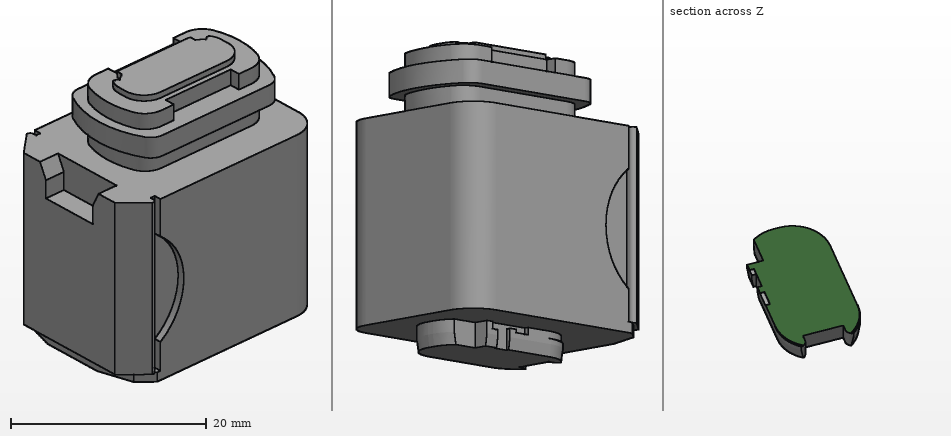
import cadquery as cq
import math

BODY_HALF_WIDTH = 9.5
BODY_BACK = 11.7
BODY_FRONT = -14.57
BODY_HEIGHT = 21.55
BACK_CORNER_RADIUS = 3.25
CAP_CHAMFER_X = 2.6
CAP_CHAMFER_Y = 2.83

FOOT_HEIGHT = 1.15
FOOT_SIDE_END = -11.1
FOOT_OUTER_CORNER = (7.9, -12.9)
FOOT_INNER_CORNER = (3.7, -14.13)

GROOVE_DEPTH = 0.85
GROOVE_BACK = -10.65
GROOVE_FRONT = -11.2
CAP_EDGE_RADIUS = 0.45
RECESS_MID_HEIGHT = 10.83
RECESS_HALF_HEIGHT = 6.25
RECESS_BACK = -7.37

NOTCH_BACK = -12.05
NOTCH_FLOOR = 17.6
NOTCH_FLARE_START = 19.75
NOTCH_HALF_WIDTH = 3.52
NOTCH_TOP_HALF_WIDTH = 4.4

NECK_HALF_WIDTH = 4.95
NECK_HALF_LENGTH = 9.2
NECK_END_RADIUS = 9.9
NECK_CORNER_RADIUS = 2.5
NECK_TOP = 28.42
FLANGE_HALF_WIDTH = 6.38
FLANGE_HALF_LENGTH = 10.4
FLANGE_END_RADIUS = 11.43
FLANGE_CORNER_RADIUS = 1.85
FLANGE_BOTTOM = 24.1
FLANGE_TOP = 26.55
WAIST_HALF_WIDTH = 3.7
WAIST_HALF_LENGTH = 4.55
PLATE_HALF_WIDTH = 3.05
PLATE_HALF_LENGTH = 7.15
PLATE_CORNER_RADIUS = 2.55
PLATE_TOP = 29.1

KEY_LEDGE = (-2.3, 5.1)
KEY_TIP = (-1.65, 6.03)
KEY_HOOK = (-1.9, 6.4)

PLUG_DEPTH = 2.65
PLUG_HALF_WIDTH = 4.48
PLUG_HALF_LENGTH = 8.5
PLUG_CORNER_RADIUS = 4.13
PLUG_TAPER_START = 1.33
PLUG_TAPER_ANGLE = 8.0
COLLAR_DEPTH = 0.75
COLLAR_FRONT = -8.25
NOSE_POCKET_TOP = 0.55
NOSE_POCKET_HALF_WIDTH = 2.15
NOSE_POCKET_BACK = -6.35
NOSE_TIP = -7.68
NOSE_ROUND = 0.73
SIDE_POCKET_DEPTH = 0.48
BACK_FLAT_X = 2.73
BACK_FLAT_FRONT = 4.75

SIDE_POCKETS = [
    (3.2, 1.5, PLUG_DEPTH),
    (3.95, 1.5, COLLAR_DEPTH),
    (1.5, 0.6, 0.4),
    (0.6, -1.1, COLLAR_DEPTH),
]


def block(x_min, x_max, y_min, y_max, z_min, z_max):
    size = (x_max - x_min, y_max - y_min, z_max - z_min)
    return cq.Workplane("XY").box(*size, centered=False).translate((x_min, y_min, z_min))


def both_sides(left_part):
    return left_part.union(left_part.mirror("YZ"))


def bowed_oval(half_width, half_length, end_radius, corner_radius, bottom, top):
    """Straight-sided prism with bowed ends, joined to the sides by tangent corner arcs."""
    end_center = half_length - end_radius
    corner_x = half_width - corner_radius
    reach = end_radius - corner_radius
    corner_y = end_center + math.sqrt(reach**2 - corner_x**2)
    join_x = corner_x * end_radius / reach
    join_y = end_center + (corner_y - end_center) * end_radius / reach
    angle = math.atan2(corner_y - end_center, corner_x) / 2
    mid_x = corner_x + corner_radius * math.cos(angle)
    mid_y = corner_y + corner_radius * math.sin(angle)
    return (
        cq.Workplane("XY", origin=(0, 0, bottom))
        .moveTo(half_width, -corner_y)
        .lineTo(half_width, corner_y)
        .threePointArc((mid_x, mid_y), (join_x, join_y))
        .threePointArc((0, half_length), (-join_x, join_y))
        .threePointArc((-mid_x, mid_y), (-half_width, corner_y))
        .lineTo(-half_width, -corner_y)
        .threePointArc((-mid_x, -mid_y), (-join_x, -join_y))
        .threePointArc((0, -half_length), (join_x, -join_y))
        .threePointArc((mid_x, -mid_y), (half_width, -corner_y))
        .close()
        .extrude(top - bottom)
    )


def rounded_outline(half_width, front, back, radius, z):
    sketch = cq.Sketch().rect(2 * half_width, back - front).vertices().fillet(radius)
    return cq.Workplane("XY", origin=(0, (front + back) / 2, z)).placeSketch(sketch)


def side_groove():
    """Cutter for the left side: groove and finger recess share one floor."""
    depth_plane = cq.Workplane("YZ", origin=(-BODY_HALF_WIDTH, 0, 0))
    return (
        depth_plane.moveTo(GROOVE_FRONT, FOOT_HEIGHT)
        .lineTo(GROOVE_BACK, FOOT_HEIGHT)
        .lineTo(GROOVE_BACK, RECESS_MID_HEIGHT - RECESS_HALF_HEIGHT)
        .threePointArc(
            (RECESS_BACK, RECESS_MID_HEIGHT),
            (GROOVE_BACK, RECESS_MID_HEIGHT + RECESS_HALF_HEIGHT),
        )
        .lineTo(GROOVE_BACK, BODY_HEIGHT)
        .lineTo(GROOVE_FRONT, BODY_HEIGHT)
        .close()
        .extrude(GROOVE_DEPTH)
    )


def cap_edge_rounding():
    """Cutter that rounds the left rear edge of the front cap."""
    strip = block(
        -BODY_HALF_WIDTH, -BODY_HALF_WIDTH + CAP_EDGE_RADIUS,
        GROOVE_FRONT - CAP_EDGE_RADIUS, GROOVE_FRONT,
        FOOT_HEIGHT, BODY_HEIGHT,
    )
    rod = (
        cq.Workplane("XY", origin=(0, 0, FOOT_HEIGHT))
        .center(-BODY_HALF_WIDTH + CAP_EDGE_RADIUS, GROOVE_FRONT - CAP_EDGE_RADIUS)
        .circle(CAP_EDGE_RADIUS)
        .extrude(BODY_HEIGHT - FOOT_HEIGHT)
    )
    return strip.cut(rod)


def latch_notch():
    return (
        cq.Workplane("XZ", origin=(0, NOTCH_BACK, 0))
        .polyline([
            (-NOTCH_HALF_WIDTH, NOTCH_FLOOR),
            (NOTCH_HALF_WIDTH, NOTCH_FLOOR),
            (NOTCH_HALF_WIDTH, NOTCH_FLARE_START),
            (NOTCH_TOP_HALF_WIDTH, BODY_HEIGHT),
            (-NOTCH_TOP_HALF_WIDTH, BODY_HEIGHT),
            (-NOTCH_HALF_WIDTH, NOTCH_FLARE_START),
        ])
        .close()
        .extrude(NOTCH_BACK - BODY_FRONT)
    )


def make_body():
    cap_face_half_width = BODY_HALF_WIDTH - CAP_CHAMFER_X
    cap_side_end = BODY_FRONT + CAP_CHAMFER_Y
    upper = (
        cq.Workplane("XY", origin=(0, 0, FOOT_HEIGHT))
        .polyline([
            (-BODY_HALF_WIDTH, BODY_BACK),
            (-BODY_HALF_WIDTH, cap_side_end),
            (-cap_face_half_width, BODY_FRONT),
            (cap_face_half_width, BODY_FRONT),
            (BODY_HALF_WIDTH, cap_side_end),
            (BODY_HALF_WIDTH, BODY_BACK),
        ])
        .close()
        .extrude(BODY_HEIGHT - FOOT_HEIGHT)
    )
    outer_x, outer_y = FOOT_OUTER_CORNER
    inner_x, inner_y = FOOT_INNER_CORNER
    foot = (
        cq.Workplane("XY")
        .polyline([
            (-BODY_HALF_WIDTH, BODY_BACK),
            (-BODY_HALF_WIDTH, FOOT_SIDE_END),
            (-outer_x, outer_y),
            (-inner_x, inner_y),
            (inner_x, inner_y),
            (outer_x, outer_y),
            (BODY_HALF_WIDTH, FOOT_SIDE_END),
            (BODY_HALF_WIDTH, BODY_BACK),
        ])
        .close()
        .extrude(FOOT_HEIGHT)
    )
    body = upper.union(foot).edges("|Z and >Y").fillet(BACK_CORNER_RADIUS)
    body = body.cut(both_sides(side_groove()))
    body = body.cut(both_sides(cap_edge_rounding()))
    return body.cut(latch_notch())


def key_notch():
    """Cutter for the hooked notch in the left back corner of the top plate."""
    return (
        cq.Workplane("XY", origin=(0, 0, NECK_TOP))
        .polyline([
            (-PLATE_HALF_WIDTH, KEY_LEDGE[1]),
            KEY_LEDGE,
            KEY_TIP,
            KEY_HOOK,
            (KEY_HOOK[0], PLATE_HALF_LENGTH),
            (-PLATE_HALF_WIDTH, PLATE_HALF_LENGTH),
        ])
        .close()
        .extrude(PLATE_TOP - NECK_TOP)
    )


def make_neck():
    neck = bowed_oval(
        NECK_HALF_WIDTH, NECK_HALF_LENGTH, NECK_END_RADIUS, NECK_CORNER_RADIUS,
        BODY_HEIGHT, NECK_TOP,
    )
    waist_slot = block(
        -NECK_HALF_WIDTH, -WAIST_HALF_WIDTH, -WAIST_HALF_LENGTH, WAIST_HALF_LENGTH,
        FLANGE_TOP, NECK_TOP,
    )
    neck = neck.cut(both_sides(waist_slot))
    flange = bowed_oval(
        FLANGE_HALF_WIDTH, FLANGE_HALF_LENGTH, FLANGE_END_RADIUS, FLANGE_CORNER_RADIUS,
        FLANGE_BOTTOM, FLANGE_TOP,
    )
    plate = rounded_outline(
        PLATE_HALF_WIDTH, -PLATE_HALF_LENGTH, PLATE_HALF_LENGTH, PLATE_CORNER_RADIUS, NECK_TOP
    ).extrude(PLATE_TOP - NECK_TOP)
    plate = plate.cut(key_notch()).cut(key_notch().mirror("XZ"))
    return neck.union(flange).union(plate)


def nose_pocket():
    """Cutter for the recess in the front of the plug, flaring out in convex rounds."""
    wall_end = NOSE_TIP + NOSE_ROUND
    mouth_half_width = NOSE_POCKET_HALF_WIDTH + NOSE_ROUND
    diagonal = NOSE_ROUND * (1 - math.sqrt(0.5))
    round_mid_x = NOSE_POCKET_HALF_WIDTH + diagonal
    round_mid_y = NOSE_TIP + diagonal
    return (
        cq.Workplane("XY", origin=(0, 0, -PLUG_DEPTH))
        .moveTo(-NOSE_POCKET_HALF_WIDTH, NOSE_POCKET_BACK)
        .lineTo(-NOSE_POCKET_HALF_WIDTH, wall_end)
        .threePointArc((-round_mid_x, round_mid_y), (-mouth_half_width, NOSE_TIP))
        .lineTo(-mouth_half_width, -PLUG_HALF_LENGTH)
        .lineTo(mouth_half_width, -PLUG_HALF_LENGTH)
        .lineTo(mouth_half_width, NOSE_TIP)
        .threePointArc((round_mid_x, round_mid_y), (NOSE_POCKET_HALF_WIDTH, wall_end))
        .lineTo(NOSE_POCKET_HALF_WIDTH, NOSE_POCKET_BACK)
        .close()
        .extrude(PLUG_DEPTH - NOSE_POCKET_TOP)
    )


def make_plug():
    collar = rounded_outline(
        PLUG_HALF_WIDTH, COLLAR_FRONT, PLUG_HALF_LENGTH, PLUG_CORNER_RADIUS, 0
    ).extrude(-COLLAR_DEPTH)
    wall = rounded_outline(
        PLUG_HALF_WIDTH, -PLUG_HALF_LENGTH, PLUG_HALF_LENGTH, PLUG_CORNER_RADIUS, -COLLAR_DEPTH
    ).extrude(COLLAR_DEPTH - PLUG_TAPER_START)
    tip = rounded_outline(
        PLUG_HALF_WIDTH, -PLUG_HALF_LENGTH, PLUG_HALF_LENGTH, PLUG_CORNER_RADIUS, -PLUG_TAPER_START
    ).extrude(PLUG_TAPER_START - PLUG_DEPTH, taper=PLUG_TAPER_ANGLE)
    plug = collar.union(wall).union(tip).cut(nose_pocket())
    for back, front, depth in SIDE_POCKETS:
        pocket = block(
            -PLUG_HALF_WIDTH, -PLUG_HALF_WIDTH + SIDE_POCKET_DEPTH, front, back, -depth, 0
        )
        plug = plug.cut(pocket)
    back_flat = block(
        -PLUG_HALF_WIDTH, -BACK_FLAT_X, BACK_FLAT_FRONT, PLUG_HALF_LENGTH, -PLUG_DEPTH, 0
    )
    return plug.cut(back_flat)


result = make_body().union(make_neck()).union(make_plug())